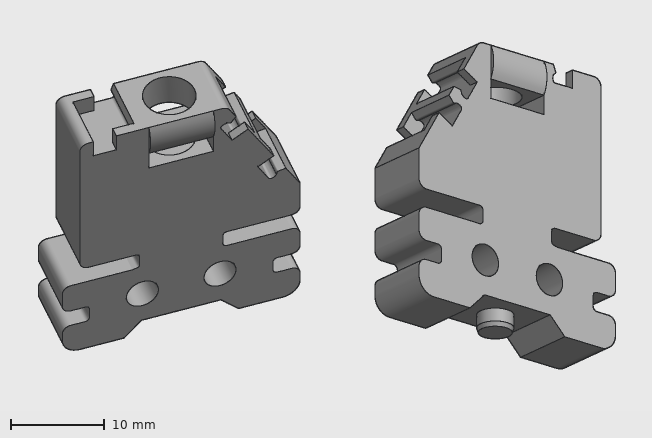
import cadquery as cq
import math


height = 31.0
thickness = 7.5
half_thickness = thickness / 2
foot_half_length = 27.0 / 2

block_front_y = -11.5
block_bottom_z = 12.15
slope_angle = 60.0
slope_start_z = 16.65
slope_rise = height - slope_start_z
slope_end_y = foot_half_length - slope_rise / math.tan(math.radians(slope_angle))

waist_half_length = 4.7
foot_top_z = 10.05
rail_slot_half_length = 10.42
rail_slot_bottom_z = 4.03
rail_slot_top_z = 6.23
notch_depth = 2.0
notch_half_length = 4.5
notch_mouth_half_length = notch_half_length + notch_depth

ramp_height = 0.2
ramp_length = 0.8
ramp_radius = 0.37

outer_radius = 1.0
inner_radius = 0.5
base_radius = 2.0

cross_hole_diameter = 3.63
cross_hole_y = 4.4
cross_hole_z = 6.05

window_length = 7.32
window_floor_z = 24.85
bridge_height = 3.9
bridge_half_width = 4.25

label_depth = 2.1
label_wall = 1.15
top_label_y = -7.47
top_label_reach = 2.5
top_label_overlap = 0.22
slope_label_distances = (5.75, 12.05)
slope_label_reach = 2.48
slope_label_overlap = 0.5

hook_edge = (0, 0)
hook_nose = [(0.28, 0.75), (0.3, 0.87), (0.22, 1.02)]
hook_undercut = [(0.03, 1.2), (-0.05, 1.5), (-0.05, 1.77)]
hook_root = [(0.03, 2.0), (0.28, label_depth)]

head_diameter = 5.7
head_recess = 0.8
shank_diameter = 4.0
head_height = shank_diameter
tip_chamfer_height = 0.53
tip_chamfer_width = 0.2
head_top_z = window_floor_z - head_recess
head_bottom_z = head_top_z - head_height


def rounded_outline(corners):
    """Closed outline in the YZ plane from (y, z, corner radius) triples."""
    outline = None
    for index, (y, z, radius) in enumerate(corners):
        corner = cq.Vector(y, z)
        previous_y, previous_z, _ = corners[index - 1]
        next_y, next_z, _ = corners[(index + 1) % len(corners)]
        back = (cq.Vector(previous_y, previous_z) - corner).normalized()
        ahead = (cq.Vector(next_y, next_z) - corner).normalized()
        half_angle = back.getAngle(ahead) / 2
        tangent_length = radius / math.tan(half_angle)
        arc_depth = radius / math.sin(half_angle) - radius
        start = corner + back * tangent_length
        if outline is None:
            outline = cq.Workplane("YZ").moveTo(start.x, start.y)
        else:
            outline = outline.lineTo(start.x, start.y)
        if radius > 0:
            middle = corner + (back + ahead).normalized() * arc_depth
            end = corner + ahead * tangent_length
            outline = outline.threePointArc((middle.x, middle.y), (end.x, end.y))
    return outline.close()


def housing_blank():
    """Plate with the whole side outline, before any slots and holes."""
    foot_side = [
        (notch_half_length, notch_depth, 0),
        (notch_mouth_half_length, 0, 0),
        (foot_half_length, 0, base_radius),
        (foot_half_length, rail_slot_bottom_z, outer_radius),
        (rail_slot_half_length, rail_slot_bottom_z, inner_radius),
        (rail_slot_half_length, rail_slot_top_z, inner_radius),
        (foot_half_length, rail_slot_top_z, outer_radius),
        (foot_half_length, foot_top_z, outer_radius),
    ]
    upper_block = [
        (waist_half_length, foot_top_z, inner_radius),
        (waist_half_length, block_bottom_z, inner_radius),
        (foot_half_length, block_bottom_z, outer_radius),
        (foot_half_length, slope_start_z, 0),
        (slope_end_y, height, outer_radius),
        (block_front_y, height, outer_radius),
        (block_front_y, block_bottom_z, outer_radius),
        (-waist_half_length, block_bottom_z, inner_radius),
        (-waist_half_length, foot_top_z + ramp_height, ramp_radius),
        (-waist_half_length - ramp_length, foot_top_z, 0),
    ]
    other_foot_side = [(-y, z, radius) for y, z, radius in reversed(foot_side)]
    outline = rounded_outline(foot_side + upper_block + other_foot_side)
    return outline.extrude(half_thickness, both=True)


def window():
    """Opening through the thickness, up to the top face."""
    window_height = height - window_floor_z
    return (
        cq.Workplane("XY", origin=(0, 0, window_floor_z))
        .rect(thickness, window_length)
        .extrude(window_height)
    )


def bridge():
    """Bar across the top of the window, bulging past both side faces."""
    bottom_z = height - bridge_height
    middle_z = height - bridge_height / 2
    return (
        cq.Workplane("XZ")
        .moveTo(-half_thickness, bottom_z)
        .lineTo(half_thickness, bottom_z)
        .threePointArc((bridge_half_width, middle_z), (half_thickness, height))
        .lineTo(-half_thickness, height)
        .threePointArc((-bridge_half_width, middle_z), (-half_thickness, bottom_z))
        .close()
        .extrude(window_length / 2, both=True)
    )


def label_cut(origin, along, inward, length, side, hooked=True):
    """Half of a label slot, open on one side face (side -1 or +1 along X).

    It starts at origin with a hook, or a plain wall, and runs along the surface to a plain wall.
    """

    def place(point):
        distance, depth = point
        return (
            origin[0] + along[0] * distance + inward[0] * depth,
            origin[1] + along[1] * distance + inward[1] * depth,
        )

    profile = cq.Workplane("YZ").moveTo(*place(hook_edge))
    if hooked:
        for first, middle, last in (hook_nose, hook_undercut):
            profile = profile.lineTo(*place(first)).threePointArc(place(middle), place(last))
        root_middle, root_end = hook_root
        profile = profile.threePointArc(place(root_middle), place(root_end))
    else:
        profile = profile.lineTo(*place((0, label_depth)))
    profile = profile.lineTo(*place((length, label_depth))).lineTo(*place((length, 0)))
    cut_width = thickness - label_wall
    return profile.close().extrude(cut_width / 2, both=True).translate((side * label_wall / 2, 0, 0))


def top_label_slot():
    """Slot in the top face: hooked end toward +Y, plain end toward -Y."""
    length = top_label_reach + top_label_overlap / 2
    inward = (0, -1)
    hooked_cut = label_cut((top_label_y + top_label_reach, height), (-1, 0), inward, length, -1)
    plain_cut = label_cut(
        (top_label_y - top_label_reach, height), (1, 0), inward, length, 1, hooked=False
    )
    return hooked_cut.union(plain_cut)


def slope_label_slot(distance, upper_side):
    """Slot in the slope, hooked at both ends; the cut with the upper hook opens on upper_side."""
    angle = math.radians(slope_angle)
    uphill = (-math.cos(angle), math.sin(angle))
    downhill = (math.cos(angle), -math.sin(angle))
    inward = (-math.sin(angle), -math.cos(angle))
    length = slope_label_reach + slope_label_overlap / 2

    def on_slope(along_slope):
        return (
            foot_half_length + uphill[0] * along_slope,
            slope_start_z + uphill[1] * along_slope,
        )

    upper_cut = label_cut(on_slope(distance + slope_label_reach), downhill, inward, length, upper_side)
    lower_cut = label_cut(on_slope(distance - slope_label_reach), uphill, inward, length, -upper_side)
    return upper_cut.union(lower_cut)


def cross_holes():
    return (
        cq.Workplane("YZ")
        .pushPoints([(-cross_hole_y, cross_hole_z), (cross_hole_y, cross_hole_z)])
        .circle(cross_hole_diameter / 2)
        .extrude(half_thickness, both=True)
    )


def screw_hole():
    """Stepped bore: wide from the top face to under the screw head, narrow from there down."""
    head_bore = (
        cq.Workplane("XY", origin=(0, 0, head_bottom_z))
        .circle(head_diameter / 2)
        .extrude(height - head_bottom_z)
    )
    shank_bore = cq.Workplane("XY").circle(shank_diameter / 2).extrude(head_bottom_z)
    return head_bore.union(shank_bore)


def make_housing():
    body = housing_blank().cut(window()).union(bridge())
    body = body.cut(top_label_slot())
    for distance, upper_side in zip(slope_label_distances, (-1, 1)):
        body = body.cut(slope_label_slot(distance, upper_side))
    return body.cut(cross_holes()).cut(screw_hole())


def make_screw():
    """Screw turned about the Z axis, with a chamfered tip level with the base of the foot."""
    shank_radius = shank_diameter / 2
    return (
        cq.Workplane("XZ")
        .lineTo(shank_radius - tip_chamfer_width, 0)
        .lineTo(shank_radius, tip_chamfer_height)
        .lineTo(shank_radius, head_bottom_z)
        .lineTo(head_diameter / 2, head_bottom_z)
        .lineTo(head_diameter / 2, head_top_z)
        .lineTo(0, head_top_z)
        .close()
        .revolve(360, (0, 0, 0), (0, 1, 0))
    )


housing = make_housing()
screw = make_screw()

result = cq.Compound.makeCompound([housing.val(), screw.val()])